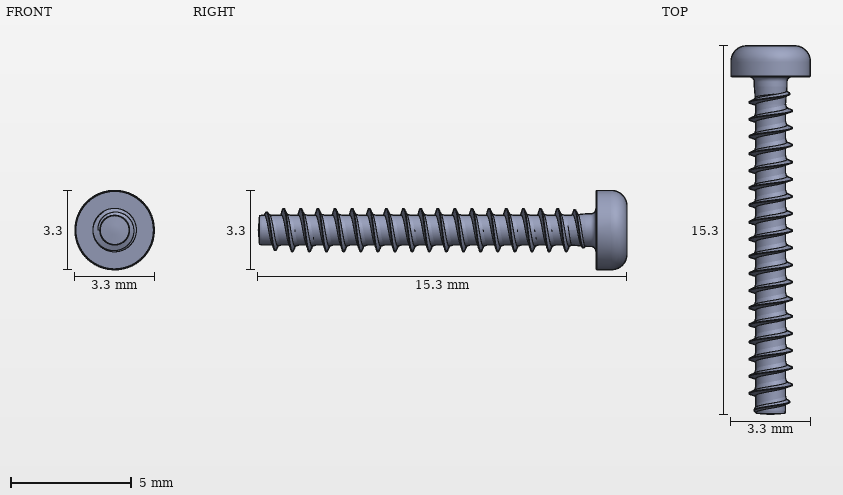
import cadquery as cq
import math


head_height = 1.3
head_radius = 1.65
head_crown_fillet = 0.66
head_rim_chamfer = 0.05

shank_length = 14.0
neck_radius = 1.36 / 2
neck_fillet = 0.2
neck_end = 0.41
core_radius = 1.24 / 2
core_start = 1.15
tip_taper_start = 13.85
tip_radius = 0.6
tip_cone_height = 0.05

thread_radius = 0.9
thread_start = 0.34
thread_start_angle = 180
thread_turns = 19
thread_length = 13.5
run_in_turns = 1
run_out_turns = 1
end_height = 0.08
crest_half_width = 0.02
tip_flank_width = 0.1
head_knee_height = 0.054
head_knee_width = 0.115
head_ramp_width = 0.38
root_overlap = 0.03
points_per_turn = 16

pitch = thread_length / thread_turns
thread_height = thread_radius - core_radius

thread_section = [
    (-root_overlap, -head_ramp_width),
    (head_knee_height, -head_knee_width),
    (thread_height, -crest_half_width),
    (thread_height, crest_half_width),
    (-root_overlap, tip_flank_width),
]


def make_head():
    head = cq.Workplane("XZ", origin=(0, head_height, 0)).circle(head_radius).extrude(head_height)
    head = head.faces(">Y").edges().fillet(head_crown_fillet)
    return head.faces("<Y").edges().chamfer(head_rim_chamfer)


def make_shank():
    """Revolve the filleted neck, the core and the slightly conical tip around the Y axis."""
    fillet_mid = neck_fillet * (1 - math.sqrt(0.5))
    return (
        cq.Workplane("XY")
        .moveTo(0, head_height / 2)
        .lineTo(neck_radius + neck_fillet, head_height / 2)
        .lineTo(neck_radius + neck_fillet, 0)
        .threePointArc((neck_radius + fillet_mid, -fillet_mid), (neck_radius, -neck_fillet))
        .lineTo(neck_radius, -neck_end)
        .lineTo(core_radius, -core_start)
        .lineTo(core_radius, -tip_taper_start)
        .lineTo(tip_radius, tip_cone_height - shank_length)
        .lineTo(0, -shank_length)
        .close()
        .revolve(360, (0, 0, 0), (0, 1, 0))
    )


def thread_growth(turn):
    """Part of the full ridge height: least at both ends, 1 between run-in and run-out."""
    least = end_height / thread_height
    nearness = max(1 - turn / run_in_turns, 1 - (thread_turns - turn) / run_out_turns, 0)
    return 1 - (1 - least) * nearness


def thread_point(turn, height, offset):
    """Corner of the ridge section after a number of turns; corners inside the core stay in place."""
    if height > 0:
        height *= thread_growth(turn)
    radius = core_radius + height
    angle = math.radians(thread_start_angle) + 2 * math.pi * turn
    depth = thread_start + pitch * turn + offset
    return cq.Vector(radius * math.cos(angle), -depth, radius * math.sin(angle))


def thread_edges(first_turn):
    """One helical edge of a single turn for each corner of the section."""
    edges = []
    for height, offset in thread_section:
        turns = [first_turn + step / points_per_turn for step in range(points_per_turn + 1)]
        edges.append(cq.Edge.makeSpline([thread_point(turn, height, offset) for turn in turns]))
    return edges


def end_cap(turn):
    corners = [thread_point(turn, height, offset) for height, offset in thread_section]
    return cq.Face.makeFromWires(cq.Wire.makePolygon(corners, close=True))


def make_thread():
    """Ridge that rises from the neck, runs at full height and fades toward the tip."""
    faces = [end_cap(0), end_cap(thread_turns)]
    for turn in range(thread_turns):
        edges = thread_edges(turn)
        for index, edge in enumerate(edges):
            faces.append(cq.Face.makeRuledSurface(edges[index - 1], edge))
    return cq.Solid.makeSolid(cq.Shell.makeShell(faces))


result = make_head().union(make_shank()).union(cq.Workplane(make_thread()))